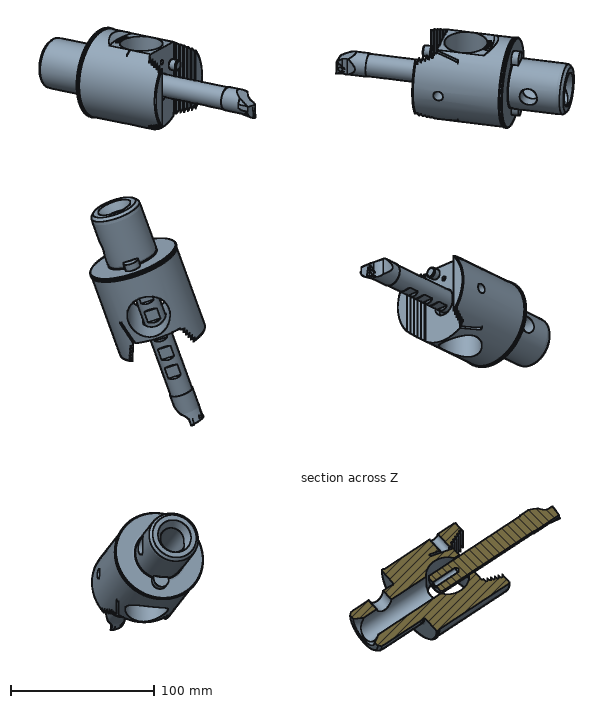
import cadquery as cq
import math


shank_radius = 18.0
shank_lead_radius = shank_radius - 0.2
shank_end_radius = 15.8
shank_chamfer_end = 1.7
shank_chamfer_radius = 17.5
shank_step_end = 2.2
shank_lead_end = 3.2
shank_full_start = 4.8
neck_start = 37.5
neck_end = 39.1
neck_radius = shank_radius - 0.4
flare_start = 39.7
pin_hole_radius = 6.3
pin_hole_x = 24.5

flange_x = 40.0
flange_radius = 32.0
flange_chamfer = 0.7
flange_end = 42.6
flange_flare_radius = 19.6
body_radius = 31.5
body_end = 105.0
body_end_chamfer = 1.0

mouth_radius = 12.0
mouth_half_angle = 30.0
passage_radius = 8.4
passage_drop = 3.0

cross_hole_x = 74.0
cross_hole_radius = 15.0
flat_z = 27.6
flat_start = 55.1
ramp_radius = 56.0
tick_width = 0.25
tick_depth = 0.25
dial_tick_count = 6
dial_tick_spacing = 9.0
dial_tick_inner = 15.0
dial_tick_outer = 18.0
index_tick_outer_y = 19.5

jaw_floor_x = 91.0
jaw_half_width = 17.4
tooth_count = 5
tooth_pitch = 2.53
tooth_rise = 1.0
tooth_depth = 2.7
first_valley_x = 92.6
valley_width = 0.9
tooth_flank_width = 1.1

slit_end_x = 74.5
slit_end_y = 20.8
slit_mouth_y = 16.3
slit_width = 1.4
slit_slope = (slit_mouth_y - slit_end_y) / (jaw_floor_x - slit_end_x)
clamp_hole_x = 86.0
clamp_hole_radius = 3.5

key_front = 35.0
key_back = 44.0
key_radius = 5.4
key_centre_z = 19.6
key_bottom_z = 17.4

bar_start = 62.3
bar_radius = 8.0
bar_tail_chamfer = 1.4
coolant_radius = 1.9
coolant_depth = 20.0
coolant_chamfer = 0.6
coolant_tip_half_angle = 59.0
bar_flat_count = 5
bar_flat_pitch = 14.7
bar_flat_length = 10.2
bar_flat_z = -6.5
bar_flat_flank = 1.1

head_start = 144.3
head_radius = 8.4
nose_start = 158.0
nose_end = 167.1
nose_radius = 9.8
slope_start_x = 153.2
slope_end_x = 165.6
slope_end_z = 1.0
nose_corner_z = -0.4
nose_face_lean = 1.0
nose_flat_start = 158.6
nose_flat_y = -8.3
nose_flat_bottom_z = -3.0
nose_flat_top_z = 0.8
nose_facet_top_z = 5.5
nose_facet_top_y = -6.6
gullet_start_x = 151.7
gullet_bulge_x = 155.3
gullet_bulge_y = 6.9
gullet_crest_x = 158.1
gullet_crest_y = 5.2
gullet_hollow_x = 160.4
gullet_hollow_y = 2.2
gullet_foot_x = 162.8
gullet_floor_y = 0.6

insert_tip_x = 167.5
insert_tip_z = -9.7
insert_circumradius = 5.1
insert_tip_angle = -50.0
insert_thickness = 2.4
insert_corners = 3
insert_screw_radius = 0.9
insert_screw_head_radius = 1.6
insert_screw_head_depth = 1.2
insert_screw_length = 7.0

screw_start = 98.2
screw_length = 6.3
screw_radius = 3.9
screw_chamfer = 0.8
screw_z = 17.0
screw_access_radius = 1.6

clear = 5.0
tall = 2 * flange_radius + 2 * clear


def cylinder_x(radius, start, length, z=0.0):
    return cq.Workplane("YZ", origin=(start, 0, z)).circle(radius).extrude(length)


def revolve_about_x(profile):
    return cq.Workplane("XY").polyline(profile).close().revolve(360, (0, 0, 0), (1, 0, 0))


def extrude_along_z(sketch):
    """Prism of an XY sketch, as tall as the whole head."""
    return sketch.extrude(tall / 2, both=True)


def make_key(side):
    """Round-topped key on the +Z (side = 1) or -Z (side = -1) side of the shank."""
    return (
        cq.Workplane("YZ", origin=(key_front, 0, 0))
        .moveTo(-key_radius, side * key_bottom_z)
        .lineTo(key_radius, side * key_bottom_z)
        .lineTo(key_radius, side * key_centre_z)
        .threePointArc((0, side * (key_centre_z + key_radius)), (-key_radius, side * key_centre_z))
        .close()
        .extrude(key_back - key_front)
    )


def housing_blank():
    return revolve_about_x([
        (0, 0),
        (0, shank_end_radius),
        (shank_chamfer_end, shank_chamfer_radius),
        (shank_step_end, shank_lead_radius),
        (shank_lead_end, shank_lead_radius),
        (shank_full_start, shank_radius),
        (neck_start, shank_radius),
        (neck_end, neck_radius),
        (flare_start, shank_radius),
        (flange_x, flange_flare_radius),
        (flange_x, flange_radius - flange_chamfer),
        (flange_x + flange_chamfer, flange_radius),
        (flange_end - flange_chamfer, flange_radius),
        (flange_end, body_radius),
        (body_end - body_end_chamfer, body_radius),
        (body_end, body_radius - body_end_chamfer / 2),
        (body_end, 0),
    ])


def bar_passage():
    """Upright obround channel that clears the boring bar and extends below it."""
    slot_length = passage_drop + 2 * passage_radius
    return (
        cq.Workplane("YZ", origin=(0, 0, -passage_drop / 2))
        .slot2D(slot_length, 2 * passage_radius, 90)
        .extrude(body_end)
    )


def conical_mouth():
    depth = mouth_radius / math.tan(math.radians(mouth_half_angle))
    return revolve_about_x([(0, 0), (0, mouth_radius), (depth, 0)])


def dial_flat():
    """Space above the flat; a 45 degree cone forms the curved ramp at its rear."""
    height = flange_radius - flat_z + clear
    centre_x = flat_start + ramp_radius
    cone = cq.Workplane("XY").add(cq.Solid.makeCone(
        ramp_radius, ramp_radius + height, height, pnt=cq.Vector(centre_x, 0, flat_z)))
    length = jaw_floor_x - flange_end + clear
    over_body = (
        cq.Workplane("XY", origin=(flange_end + length / 2, 0, flat_z))
        .rect(length, tall)
        .extrude(height)
    )
    return cone.intersect(over_body)


def jaw_opening():
    """Opening at the front whose two diverging walls carry saw teeth."""
    wall = [(jaw_floor_x, jaw_half_width)]
    for i in range(tooth_count):
        valley_x = first_valley_x + i * tooth_pitch
        crest_y = jaw_half_width + i * tooth_rise
        valley_y = crest_y + tooth_depth
        valley_end = valley_x + valley_width
        wall += [
            (valley_x - valley_width / 2, crest_y),
            (valley_x, valley_y),
            (valley_end, valley_y),
            (valley_end + tooth_flank_width, crest_y + tooth_rise),
        ]
    wall.append((body_end + clear, jaw_half_width + tooth_count * tooth_rise))
    mirrored = [(x, -y) for x, y in reversed(wall)]
    return extrude_along_z(cq.Workplane("XY").polyline(wall + mirrored).close())


def clamping_slit():
    half = slit_width / 2
    mouth_x = jaw_floor_x + slit_width
    mouth_y = slit_end_y + slit_slope * (mouth_x - slit_end_x)
    outline = [
        (slit_end_x, slit_end_y - half),
        (mouth_x, mouth_y - half),
        (mouth_x, mouth_y + half),
        (slit_end_x, slit_end_y + half),
    ]
    return extrude_along_z(cq.Workplane("XY").polyline(outline).close())


def cross_bore(radius, x, floor_y):
    """Hole along Y from the +Y side down to floor_y."""
    length = body_radius + clear - floor_y
    return cq.Workplane("XZ", origin=(x, floor_y, 0)).circle(radius).extrude(-length)


def dial_tick(angle):
    """One radial scale mark beside the cross hole."""
    length = dial_tick_outer - dial_tick_inner
    mark = cq.Workplane("XY").box(length, tick_width, 2 * tick_depth)
    mark = mark.translate((-(dial_tick_inner + dial_tick_outer) / 2, 0, 0))
    return mark.rotate((0, 0, 0), (0, 0, 1), angle).translate((cross_hole_x, 0, flat_z))


def index_tick():
    """Reference mark across the round body at the -Y edge of the dial flat."""
    start = cross_hole_x - tick_width / 2
    ring = cylinder_x(body_radius + clear, start, tick_width)
    ring = ring.cut(cylinder_x(body_radius - tick_depth, start, tick_width))
    flat_edge_y = math.sqrt(body_radius ** 2 - flat_z ** 2)
    length = index_tick_outer_y - flat_edge_y
    zone = (
        cq.Workplane("XY", origin=(cross_hole_x, -flat_edge_y - length / 2, 0))
        .rect(clear, length)
        .extrude(tall / 2)
    )
    return ring.intersect(zone)


def make_housing(keys):
    housing = housing_blank()
    housing = housing.cut(bar_passage()).cut(conical_mouth())
    housing = housing.cut(cross_bore(pin_hole_radius, pin_hole_x, 0))
    housing = housing.cut(dial_flat())
    housing = housing.cut(extrude_along_z(
        cq.Workplane("XY", origin=(cross_hole_x, 0, 0)).circle(cross_hole_radius)))
    housing = housing.cut(jaw_opening()).cut(clamping_slit())
    slit_y = slit_end_y + slit_slope * (clamp_hole_x - slit_end_x)
    housing = housing.cut(cross_bore(clamp_hole_radius, clamp_hole_x, slit_y))
    housing = housing.cut(cylinder_x(screw_access_radius, cross_hole_x, body_end - cross_hole_x, screw_z))
    for i in range(dial_tick_count):
        housing = housing.cut(dial_tick((i - (dial_tick_count - 1) / 2) * dial_tick_spacing))
    housing = housing.cut(index_tick())
    for key in keys:
        housing = housing.cut(key)
    return housing


tip_direction = math.radians(insert_tip_angle)
insert_x = insert_tip_x - insert_circumradius * math.cos(tip_direction)
insert_z = insert_tip_z - insert_circumradius * math.sin(tip_direction)
insert_face_y = gullet_floor_y
insert_back_y = insert_face_y - insert_thickness


def make_insert_blank():
    """Triangular plate in the XZ plane with one corner as the cutting tip."""
    corners = []
    for i in range(insert_corners):
        angle = tip_direction + i * 2 * math.pi / insert_corners
        corners.append((
            insert_x + insert_circumradius * math.cos(angle),
            insert_z + insert_circumradius * math.sin(angle),
        ))
    return (
        cq.Workplane("XZ", origin=(0, insert_face_y, 0))
        .polyline(corners)
        .close()
        .extrude(insert_thickness)
    )


def make_insert_screw():
    """Countersunk screw flush with the insert's cutting face."""
    head_y = insert_face_y - insert_screw_head_depth
    end_y = insert_face_y - insert_screw_length
    return (
        cq.Workplane("XY", origin=(insert_x, 0, insert_z))
        .moveTo(0, insert_face_y)
        .lineTo(insert_screw_head_radius, insert_face_y)
        .lineTo(insert_screw_radius, head_y)
        .lineTo(insert_screw_radius, end_y)
        .lineTo(0, end_y)
        .close()
        .revolve(360, (0, 0, 0), (0, 1, 0))
    )


def bar_blank():
    return revolve_about_x([
        (bar_start, 0),
        (bar_start, bar_radius - bar_tail_chamfer),
        (bar_start + bar_tail_chamfer, bar_radius),
        (head_start, bar_radius),
        (head_start, head_radius),
        (nose_start, head_radius),
        (nose_end, nose_radius),
        (nose_end, 0),
    ])


def bar_flat(start):
    """Clamping flat under the bar, with sloping ends."""
    end = start + bar_flat_length
    depth = bar_radius + bar_flat_z
    return (
        cq.Workplane("XZ")
        .moveTo(start, -bar_radius)
        .lineTo(start + bar_flat_flank, bar_flat_z)
        .lineTo(end - bar_flat_flank, bar_flat_z)
        .lineTo(end, -bar_radius)
        .lineTo(end, -bar_radius - depth)
        .lineTo(start, -bar_radius - depth)
        .close()
        .extrude(bar_radius, both=True)
    )


def coolant_hole():
    """Drilled hole in the bar's tail, chamfered at its mouth and pointed at its end."""
    tip_length = coolant_radius / math.tan(math.radians(coolant_tip_half_angle))
    hole_end = bar_start + coolant_depth
    return revolve_about_x([
        (bar_start, 0),
        (bar_start, coolant_radius + coolant_chamfer),
        (bar_start + coolant_chamfer, coolant_radius),
        (hole_end, coolant_radius),
        (hole_end + tip_length, 0),
    ])


def head_slope():
    """Sloping relief across the top of the head."""
    top = nose_radius + clear
    return (
        cq.Workplane("XZ")
        .moveTo(slope_start_x, head_radius)
        .lineTo(slope_end_x, slope_end_z)
        .lineTo(nose_end, nose_corner_z)
        .lineTo(nose_end + clear, nose_corner_z)
        .lineTo(nose_end + clear, top)
        .lineTo(slope_start_x, top)
        .close()
        .extrude(nose_radius + clear, both=True)
    )


def chip_gullet():
    """Hollow on the +Y side of the head that leads down to the insert face."""
    outer_y = nose_radius + clear
    return extrude_along_z(
        cq.Workplane("XY")
        .moveTo(gullet_start_x, head_radius)
        .threePointArc((gullet_bulge_x, gullet_bulge_y), (gullet_crest_x, gullet_crest_y))
        .threePointArc((gullet_hollow_x, gullet_hollow_y), (gullet_foot_x, gullet_floor_y))
        .lineTo(nose_end + clear, gullet_floor_y)
        .lineTo(nose_end + clear, outer_y)
        .lineTo(gullet_start_x, outer_y)
        .close()
    )


def nose_relief():
    """Leaning end face, and a flat with a leaning facet above it on the -Y side of the nose."""
    end_face = extrude_along_z(
        cq.Workplane("XY")
        .moveTo(nose_end, gullet_floor_y)
        .lineTo(nose_end - nose_face_lean, -nose_radius)
        .lineTo(nose_end + clear, -nose_radius)
        .lineTo(nose_end + clear, gullet_floor_y)
        .close()
    )
    side = (
        cq.Workplane("YZ", origin=(nose_flat_start, 0, 0))
        .moveTo(nose_flat_y, nose_flat_bottom_z)
        .lineTo(nose_flat_y, nose_flat_top_z)
        .lineTo(nose_facet_top_y, nose_facet_top_z)
        .lineTo(-nose_radius - clear, nose_facet_top_z)
        .lineTo(-nose_radius - clear, nose_flat_bottom_z)
        .close()
        .extrude(nose_end - nose_flat_start)
    )
    return end_face.union(side)


def make_bar(insert_blank, insert_screw):
    bar = bar_blank()
    for i in range(bar_flat_count):
        bar = bar.cut(bar_flat(bar_start + i * bar_flat_pitch))
    bar = bar.cut(coolant_hole())
    bar = bar.cut(head_slope()).cut(chip_gullet()).cut(nose_relief())
    bar = bar.cut(insert_blank).cut(insert_screw)
    screw_exit = (
        cq.Workplane("XZ", origin=(insert_x, insert_back_y, insert_z))
        .circle(insert_screw_radius)
        .extrude(nose_radius + clear)
    )
    return bar.cut(screw_exit)


def make_adjusting_screw():
    screw = cylinder_x(screw_radius, screw_start, screw_length, screw_z)
    return screw.faces("<X or >X").chamfer(screw_chamfer)


keys = [make_key(side) for side in (1, -1)]
housing = make_housing(keys)
insert_blank = make_insert_blank()
insert_screw = make_insert_screw()
insert = insert_blank.cut(insert_screw)
boring_bar = make_bar(insert_blank, insert_screw)
adjusting_screw = make_adjusting_screw()

result = cq.Compound.makeCompound([
    housing.val(),
    *[key.val() for key in keys],
    boring_bar.val(),
    insert.val(),
    insert_screw.val(),
    adjusting_screw.val(),
])